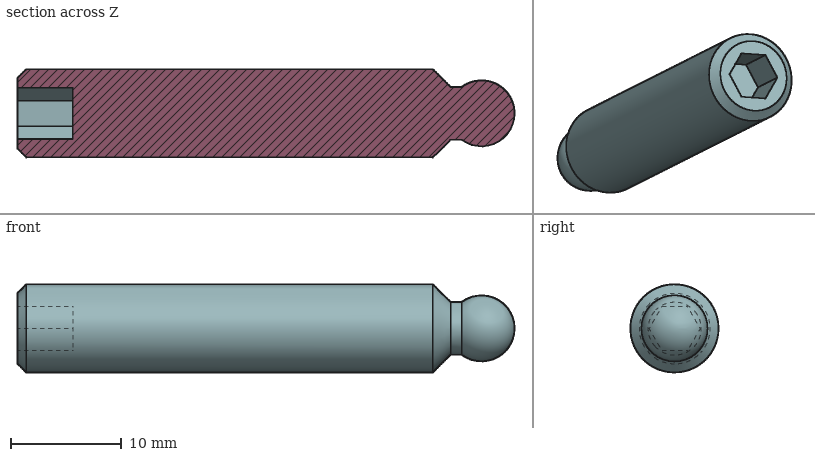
import cadquery as cq
import math

overall_length = 45.0
body_diameter = 8.0
neck_diameter = 4.8
ball_diameter = 6.0
end_chamfer = 0.8
shoulder_end_x = 39.2

socket_across_flats = 4.0
socket_depth = 5.0

body_radius = body_diameter / 2
neck_radius = neck_diameter / 2
ball_radius = ball_diameter / 2
ball_center_x = overall_length - ball_radius
shoulder_start_x = shoulder_end_x - (body_radius - neck_radius)
neck_end_x = ball_center_x - math.sqrt(ball_radius**2 - neck_radius**2)
socket_across_corners = socket_across_flats / math.cos(math.radians(30))


def make_turned_body():
    """Rod with a chamfered end, conical shoulder, neck and ball tip, as one revolved half profile."""
    half_profile = (
        cq.Workplane("XY")
        .lineTo(0, body_radius - end_chamfer)
        .lineTo(end_chamfer, body_radius)
        .lineTo(shoulder_start_x, body_radius)
        .lineTo(shoulder_end_x, neck_radius)
        .lineTo(neck_end_x, neck_radius)
        .threePointArc((ball_center_x, ball_radius), (overall_length, 0))
        .close()
    )
    return half_profile.revolve(360, (0, 0, 0), (1, 0, 0))


def make_hex_socket():
    """Blind hexagon socket with corners on the Y axis and two flats facing up and down."""
    return (
        cq.Workplane("YZ")
        .polygon(6, socket_across_corners)
        .extrude(socket_depth)
    )


result = make_turned_body().cut(make_hex_socket())